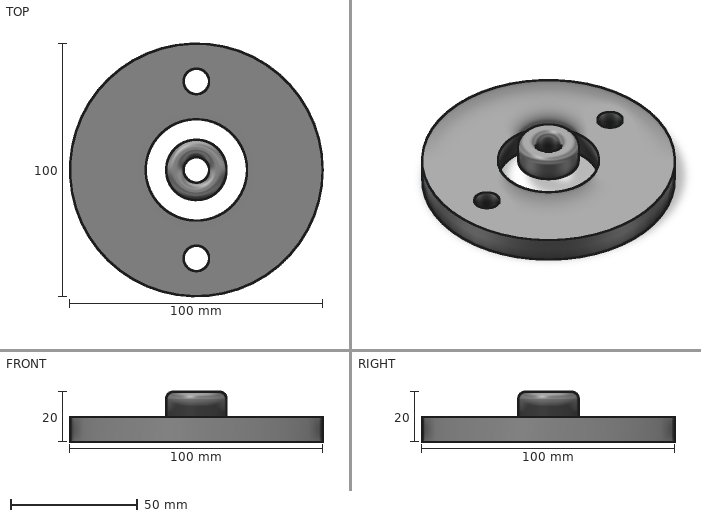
import cadquery as cq

flange_diameter = 100.0
flange_thickness = 10.0
opening_diameter = 40.0
bolt_hole_diameter = 10.0
bolt_circle_diameter = 70.0
bolt_hole_count = 2

bushing_diameter = 24.0
bushing_height = 10.0
bore_diameter = 10.0
rim_radius = 3.0


def make_flange():
    """Flat ring with a central opening and bolt holes along Y."""
    ring = (
        cq.Workplane("XY")
        .circle(flange_diameter / 2)
        .circle(opening_diameter / 2)
        .extrude(flange_thickness)
    )
    bolt_holes = (
        cq.Workplane("XY")
        .polarArray(bolt_circle_diameter / 2, 90, 360, bolt_hole_count)
        .circle(bolt_hole_diameter / 2)
        .extrude(flange_thickness)
    )
    return ring.cut(bolt_holes)


def make_bushing():
    """Short tube whose upper rim is rounded on the outside and in the bore."""
    tube = (
        cq.Workplane("XY", origin=(0, 0, flange_thickness))
        .circle(bushing_diameter / 2)
        .circle(bore_diameter / 2)
        .extrude(bushing_height)
    )
    return tube.faces(">Z").edges().fillet(rim_radius)


flange = make_flange()
bushing = make_bushing()

result = cq.Compound.makeCompound([flange.val(), bushing.val()])